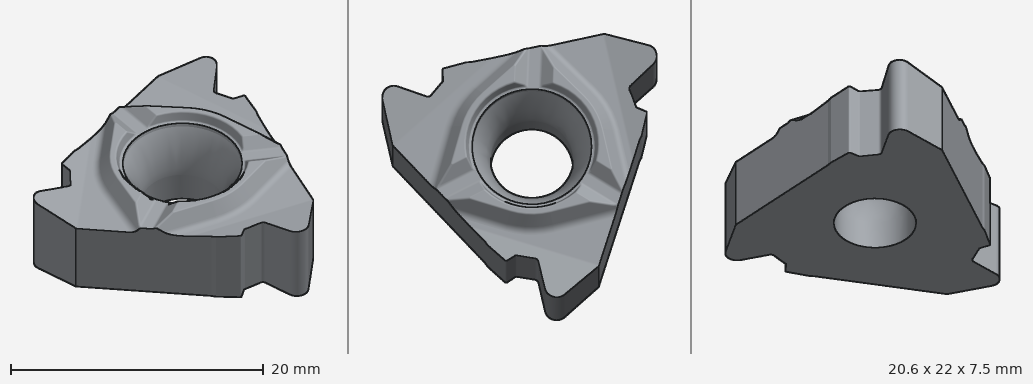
import cadquery as cq
import math


REPEAT_STEP = 120
REPEAT_ANGLES = (0, REPEAT_STEP, 2 * REPEAT_STEP)
OVERALL_LENGTH = 22
BLANK_RADIUS = 17.6
MARGIN = 0.02

SIDE_APOTHEM = 7.94
TIP_RADIUS = 0.95
TIP_Y = -0.6
UPPER_FLANK_TILT = 30
TIP_X = (OVERALL_LENGTH - 2 * TIP_RADIUS) / (2 * math.sin(math.radians(REPEAT_STEP)))
SIDE_TILT = 60
GULLET_TOP_X = 9.0
GULLET_BOTTOM = (8.33, -3.17)
GULLET_LIP = (8.69, -4.05)
HEEL_START = (7.04, -5.17)
HEEL_END_X = 6.68
GULLET_TOP_RADIUS = 0.33
GULLET_BOTTOM_RADIUS = 0.13
GULLET_LIP_RADIUS = 0.13

TOP_Z = 7.5
LAND_Z = 6.2
FLOOR_Z = 6.73

CREASE_DISTANCE = 7.59
CREASE_RADIUS = 0.88
RISE_ANGLE = 10.5

BOSS_TOP_APOTHEM = 5.75
BOSS_ARC_START = 90
BOSS_ARC_END = 122
BOSS_WALL_LEAN = 38
BOSS_FOOT_RADIUS = 0.73
RIM_RADIUS = 0.18

SLOT_DIRECTION = 45
SLOT_SHIFT = 0.07
SLOT_FLOOR_WIDTH = 1.03
SLOT_TOP_WIDTH = 3.03
SLOT_FLOOR_RADIUS = 0.35

HOLE_RADIUS = 3.25
FLARE_START_Z = 2.55
FLARE_RADIUS = 6.22
FLARE_END_RADIUS = 4.65
LEDGE_INNER_RADIUS = 4.73
LEDGE_OUTER_RADIUS = 4.97
RECESS_LEAN = 20
LEDGE_CORNER_RADIUS = 0.18


def polar(radius, degrees):
    angle = math.radians(degrees)
    return (radius * math.cos(angle), radius * math.sin(angle))


def turned(point, degrees):
    radius = math.hypot(*point)
    return polar(radius, math.degrees(math.atan2(point[1], point[0])) + degrees)


def on_line(distance, normal, along):
    """Point on a line, `along` to the left of the foot of its normal."""
    foot = polar(distance, normal)
    step = polar(along, normal + 90)
    return (foot[0] + step[0], foot[1] + step[1])


def meeting(distance_a, normal_a, distance_b, normal_b):
    """Intersection of two lines given by distance and normal direction."""
    between = math.radians(normal_b - normal_a)
    along = (distance_b - distance_a * math.cos(between)) / math.sin(between)
    return on_line(distance_a, normal_a, along)


def tip_tangent(normal):
    offset = polar(TIP_RADIUS, normal)
    return (TIP_X + offset[0], TIP_Y + offset[1])


def insert_body():
    tilt = math.radians(UPPER_FLANK_TILT)
    flank_distance = TIP_X * math.cos(tilt) + TIP_Y * math.sin(tilt) + TIP_RADIUS
    shoulder = meeting(SIDE_APOTHEM, SIDE_TILT, flank_distance, UPPER_FLANK_TILT)
    gullet_top = (GULLET_TOP_X, TIP_Y - TIP_RADIUS)
    side_angle = math.radians(SIDE_TILT)
    heel_y = (HEEL_END_X * math.cos(side_angle) - SIDE_APOTHEM) / math.sin(side_angle)
    heel_end = (HEEL_END_X, heel_y)

    outline = cq.Workplane("XY").moveTo(*heel_end)
    for angle in REPEAT_ANGLES:
        for point in (HEEL_START, GULLET_LIP, GULLET_BOTTOM, gullet_top, tip_tangent(-90)):
            outline = outline.lineTo(*turned(point, angle))
        arc_middle = turned(tip_tangent((UPPER_FLANK_TILT - 90) / 2), angle)
        arc_end = turned(tip_tangent(UPPER_FLANK_TILT), angle)
        outline = outline.threePointArc(arc_middle, arc_end)
        outline = outline.lineTo(*turned(shoulder, angle))
        if angle != REPEAT_ANGLES[-1]:
            outline = outline.lineTo(*turned(heel_end, angle + REPEAT_STEP))
    body = outline.close().extrude(TOP_Z)

    roundings = (
        (gullet_top, GULLET_TOP_RADIUS),
        (GULLET_BOTTOM, GULLET_BOTTOM_RADIUS),
        (GULLET_LIP, GULLET_LIP_RADIUS),
    )
    for corner, radius in roundings:
        for angle in REPEAT_ANGLES:
            middle = turned(corner, angle) + (TOP_Z / 2,)
            body = body.edges(cq.selectors.NearestToPointSelector(middle)).fillet(radius)
    return body


def edges_between(bottom, top, whole=True):
    """Select edges that lie wholly, or only by their centre, in a layer inside the blank's rim."""
    reach = BLANK_RADIUS - 0.22
    lower = (-reach, -reach, bottom - MARGIN)
    upper = (reach, reach, top + MARGIN)
    return cq.selectors.BoxSelector(lower, upper, boundingbox=whole)


def land_and_boss():
    land = cq.Workplane("XY").circle(BLANK_RADIUS).extrude(LAND_Z)

    height = TOP_Z - LAND_Z
    foot_apothem = BOSS_TOP_APOTHEM + height * math.tan(math.radians(BOSS_WALL_LEAN))
    corner = (BOSS_ARC_START + BOSS_ARC_END - REPEAT_STEP) / 2
    corner_radius = foot_apothem / math.cos(math.radians(BOSS_ARC_START - corner))
    boss = cq.Workplane("XY").workplane(offset=LAND_Z).moveTo(*polar(corner_radius, corner))
    for angle in REPEAT_ANGLES:
        boss = boss.lineTo(*polar(foot_apothem, BOSS_ARC_START + angle))
        arc_middle = polar(foot_apothem, (BOSS_ARC_START + BOSS_ARC_END) / 2 + angle)
        boss = boss.threePointArc(arc_middle, polar(foot_apothem, BOSS_ARC_END + angle))
        if angle != REPEAT_ANGLES[-1]:
            boss = boss.lineTo(*polar(corner_radius, corner + angle + REPEAT_STEP))
    boss = boss.close().extrude(height, taper=BOSS_WALL_LEAN)

    top = land.union(boss)
    return top.edges(edges_between(LAND_Z, LAND_Z)).fillet(BOSS_FOOT_RADIUS)


def tooth_rise():
    """Wedge that climbs outward in +Y, with a blended crease at its foot."""
    rise = math.radians(RISE_ANGLE)
    setback = CREASE_RADIUS * math.tan(rise / 2)
    start = CREASE_DISTANCE - setback
    length = BLANK_RADIUS - CREASE_DISTANCE
    arc_middle = (
        start + CREASE_RADIUS * math.sin(rise / 2),
        LAND_Z + CREASE_RADIUS * (1 - math.cos(rise / 2)),
    )
    arc_end = (CREASE_DISTANCE + setback * math.cos(rise), LAND_Z + setback * math.sin(rise))
    return (
        cq.Workplane("YZ")
        .moveTo(start, 0)
        .lineTo(start, LAND_Z)
        .threePointArc(arc_middle, arc_end)
        .lineTo(BLANK_RADIUS, LAND_Z + length * math.tan(rise))
        .lineTo(BLANK_RADIUS, 0)
        .close()
        .extrude(BLANK_RADIUS, both=True)
    )


def slot():
    floor = SLOT_FLOOR_WIDTH / 2
    top = SLOT_TOP_WIDTH / 2
    channel = (
        cq.Workplane("YZ")
        .moveTo(-floor, FLOOR_Z)
        .lineTo(floor, FLOOR_Z)
        .lineTo(top, TOP_Z)
        .lineTo(-top, TOP_Z)
        .close()
        .extrude(BLANK_RADIUS)
    )
    channel = channel.faces("<Z").edges("|X").fillet(SLOT_FLOOR_RADIUS)
    channel = channel.translate((0, SLOT_SHIFT, 0))
    return channel.rotate((0, 0, 0), (0, 0, 1), SLOT_DIRECTION)


def screw_hole():
    sweep = math.acos(1 - (FLARE_END_RADIUS - HOLE_RADIUS) / FLARE_RADIUS)
    arc_middle = (
        HOLE_RADIUS + FLARE_RADIUS * (1 - math.cos(sweep / 2)),
        FLARE_START_Z + FLARE_RADIUS * math.sin(sweep / 2),
    )
    flare_end_z = FLARE_START_Z + FLARE_RADIUS * math.sin(sweep)
    flared_hole = (
        cq.Workplane("XZ")
        .moveTo(0, 0)
        .lineTo(HOLE_RADIUS, 0)
        .lineTo(HOLE_RADIUS, FLARE_START_Z)
        .threePointArc(arc_middle, (FLARE_END_RADIUS, flare_end_z))
        .lineTo(LEDGE_INNER_RADIUS, FLOOR_Z)
        .lineTo(0, FLOOR_Z)
        .close()
        .revolve(360, (0, 0, 0), (0, 1, 0))
    )
    recess = (
        cq.Workplane("XY")
        .workplane(offset=FLOOR_Z)
        .circle(LEDGE_OUTER_RADIUS)
        .extrude(TOP_Z - FLOOR_Z, taper=-RECESS_LEAN)
        .faces("<Z")
        .edges()
        .fillet(LEDGE_CORNER_RADIUS)
    )
    return flared_hole.union(recess)


def around(shape, angle):
    return shape.rotate((0, 0, 0), (0, 0, 1), angle)


top_form = land_and_boss()
top_form = top_form.cut(screw_hole())
for turn in REPEAT_ANGLES:
    top_form = top_form.cut(around(slot(), turn))

above_floors = edges_between(FLOOR_Z + 2 * MARGIN, TOP_Z)
above_ledge = edges_between(FLOOR_Z + LEDGE_CORNER_RADIUS, TOP_Z, whole=False)
top_form = top_form.edges(above_floors & above_ledge).fillet(RIM_RADIUS)

for turn in REPEAT_ANGLES:
    top_form = top_form.union(around(tooth_rise(), turn))
result = insert_body().intersect(top_form)